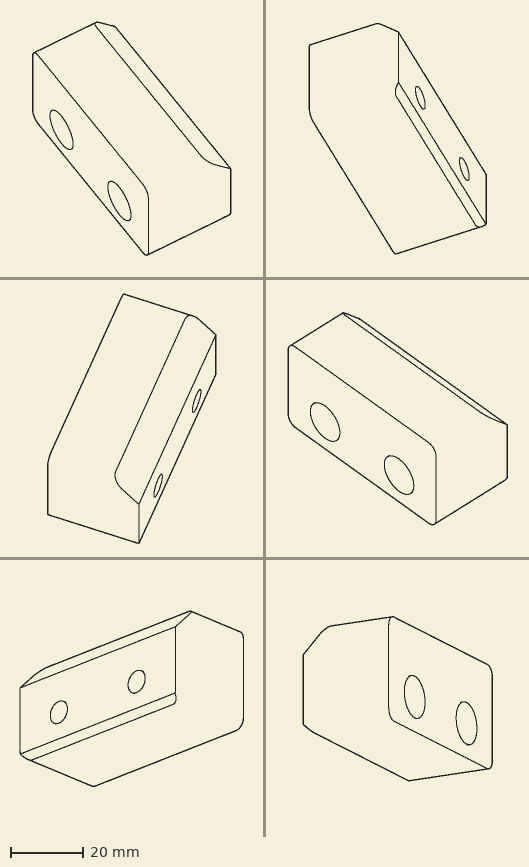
import cadquery as cq

length = 60.0
depth = 27.0
height = 30.0
corner_radius = 3.0

top_bevel = 8.0
bottom_bevel = 2.0

hole_spacing = length / 2
hole_height = height / 3
hole_diameter = 6.6
counterbore_diameter = 12.0
counterbore_depth = 15.0


def rounded_block():
    """Block centred on X, front face at Y = 0, bottom at Z = 0."""
    block = cq.Workplane("XY").box(length, depth, height, centered=(True, False, False))
    return block.edges("|Y").fillet(corner_radius)


def beveled_envelope():
    """Side profile with both back bevels, extruded over the full length."""
    return (
        cq.Workplane("YZ")
        .moveTo(0, 0)
        .lineTo(depth - bottom_bevel, 0)
        .lineTo(depth, bottom_bevel)
        .lineTo(depth, height - top_bevel)
        .lineTo(depth - top_bevel, height)
        .lineTo(0, height)
        .close()
        .extrude(length / 2, both=True)
    )


def front_cylinders(diameter, cut_depth):
    """Cylinders at both screw positions, running back from the front face."""
    positions = [(side * hole_spacing / 2, hole_height) for side in (-1, 1)]
    return cq.Workplane("XZ").pushPoints(positions).circle(diameter / 2).extrude(-cut_depth)


result = (
    rounded_block()
    .intersect(beveled_envelope())
    .cut(front_cylinders(hole_diameter, depth))
    .cut(front_cylinders(counterbore_diameter, counterbore_depth))
)